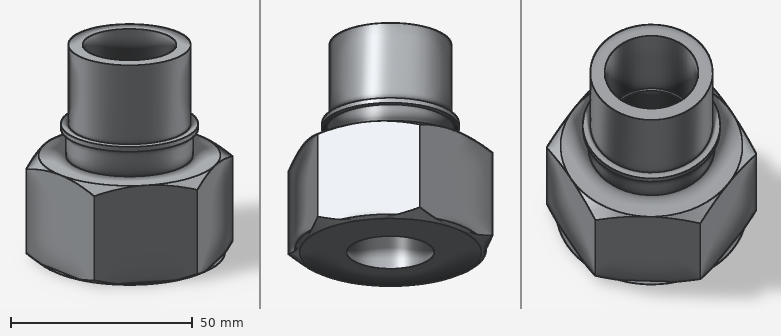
import cadquery as cq
import math

corner_span = 57.75
flat_span = corner_span * math.cos(math.pi / 6)
nut_height = 29.0
chamfer_angle = math.radians(30)
envelope_clearance = 0.6

skirt_diameter = 52.6
skirt_height = (skirt_diameter - flat_span) / 2 * math.tan(chamfer_angle)

total_height = 61.25
neck_diameter = 35.0
collar_diameter = 37.8
collar_bottom = 36.75
collar_top = 38.15
tube_diameter = 33.7

bore_diameter = 24.0
upper_bore_diameter = 25.7
upper_bore_bottom = collar_top


def cylinder(diameter, bottom, top):
    return cq.Workplane("XY").workplane(offset=bottom).circle(diameter / 2).extrude(top - bottom)


def chamfered_hexagon():
    """Hexagon with corners on Y, its ends cut by cones that touch the flats."""
    hexagon = cq.Workplane("XY").polygon(6, corner_span).extrude(nut_height)
    hexagon = hexagon.rotate((0, 0, 0), (0, 0, 1), 90)
    end_radius = flat_span / 2
    outer_radius = corner_span / 2 + envelope_clearance
    drop = (outer_radius - end_radius) * math.tan(chamfer_angle)
    envelope = (
        cq.Workplane("XZ")
        .moveTo(0, 0)
        .lineTo(end_radius, 0)
        .lineTo(outer_radius, drop)
        .lineTo(outer_radius, nut_height - drop)
        .lineTo(end_radius, nut_height)
        .lineTo(0, nut_height)
        .close()
        .revolve(360, (0, 0, 0), (0, 1, 0))
    )
    return hexagon.intersect(envelope)


def skirt():
    """Disc that flares along the lower chamfer cone and ends in a sharp rim."""
    return (
        cq.Workplane("XY")
        .circle(flat_span / 2)
        .workplane(offset=skirt_height)
        .circle(skirt_diameter / 2)
        .loft()
    )


result = (
    chamfered_hexagon()
    .union(skirt())
    .union(cylinder(neck_diameter, nut_height, collar_bottom))
    .union(cylinder(collar_diameter, collar_bottom, collar_top))
    .union(cylinder(tube_diameter, collar_top, total_height))
    .cut(cylinder(bore_diameter, 0, total_height))
    .cut(cylinder(upper_bore_diameter, upper_bore_bottom, total_height))
)